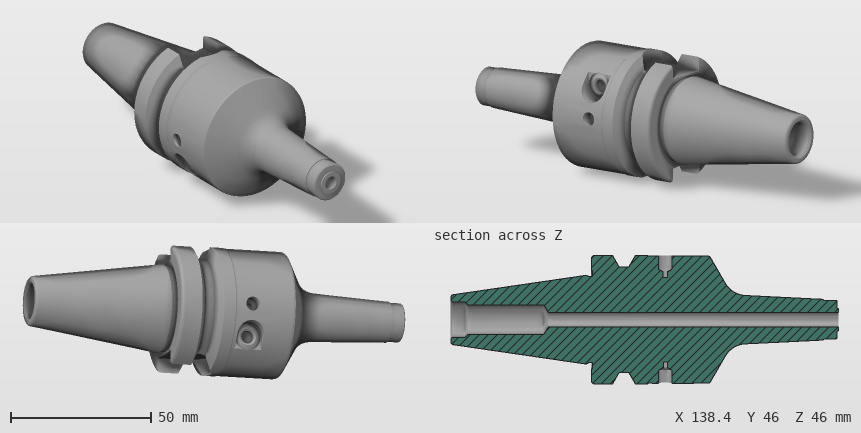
import cadquery as cq
import math

length = 138.4

shank_end_radius = 8.9
shank_length = 48.5
shank_slope = 7 / 24 / 2
shank_large_radius = shank_end_radius + shank_slope * shank_length
shank_end_fillet = 1.1
shank_angle = math.atan(shank_slope)
fillet_end_x = shank_end_fillet * (1 - math.sin(shank_angle))
fillet_end_radius = shank_end_radius + shank_slope * fillet_end_x
fillet_center_radius = fillet_end_radius - shank_end_fillet * math.cos(shank_angle)
relief_radius = 30.9 / 2
relief_chamfer = 0.8

flange_start = 50.1
flange_radius = 46.0 / 2
flange_fillet = 1.2
face_recess_radius = 17.5
face_recess_depth = 0.4
groove_start = 60.0
groove_end = 63.5
groove_radius = 19.0
groove_flank_angle = 60.0
groove_flank_length = (flange_radius - groove_radius) / math.tan(math.radians(groove_flank_angle))
collar_end = 70.5
collar_chamfer = 0.3

body_radius = 45.5 / 2
body_end = 92.5
body_edge_chamfer = 0.7
cone_start_radius = 22.5
cone_angle = 60.0
cone_end = 98.0
cone_end_radius = cone_start_radius - (cone_end - body_end) * math.tan(math.radians(cone_angle))
neck_start = 104.9
neck_start_radius = 8.7
neck_end = 133.0
neck_end_radius = 7.3
nose_radius = 14.0 / 2
nose_end = 137.8
nose_chamfer = 0.4
boss_diameter = 8.3

through_diameter = 5.0
bore_mouth_radius = 14.0 / 2
bore_mouth_chamfer = 0.7
counterbore_radius = 12.5 / 2
counterbore_depth = 5.3
thread_radius = 10.4 / 2
thread_chamfer = 1.0
thread_end = 33.2
drill_cone_angle = 59.0

slot_width = 16.0
slot_end = 67.3
slot_floor = 16.3

cross_x = 76.5
pocket_z = -11.8
pocket_width = 10.0
pocket_floor = 15.9
recess_diameter = 9.7
recess_depth = 1.1
ring_diameter = 6.1
ring_depth = 0.4
socket_diameter = 4.5
socket_depth = 2.5
pin_z = -1.0
pin_hole_diameter = 5.0
pin_hole_floor = 18.0
pin_bore_diameter = 2.4
pin_bore_depth = 2.8


def turned_blank():
    """Outside shape of the holder, revolved from its half profile."""
    return (
        cq.Workplane("XY")
        .moveTo(0, 0)
        .lineTo(0, fillet_center_radius)
        .radiusArc((fillet_end_x, fillet_end_radius), shank_end_fillet)
        .lineTo(shank_length, shank_large_radius)
        .lineTo(shank_length + relief_chamfer, relief_radius)
        .lineTo(flange_start + face_recess_depth, relief_radius)
        .lineTo(flange_start + face_recess_depth, face_recess_radius)
        .lineTo(flange_start, face_recess_radius)
        .lineTo(flange_start, flange_radius - flange_fillet)
        .radiusArc((flange_start + flange_fillet, flange_radius), flange_fillet)
        .lineTo(groove_start - groove_flank_length, flange_radius)
        .lineTo(groove_start, groove_radius)
        .lineTo(groove_end, groove_radius)
        .lineTo(groove_end + groove_flank_length, flange_radius)
        .lineTo(collar_end - collar_chamfer, flange_radius)
        .lineTo(collar_end, body_radius)
        .lineTo(body_end - body_edge_chamfer, body_radius)
        .lineTo(body_end, cone_start_radius)
        .lineTo(cone_end, cone_end_radius)
        .tangentArcPoint((neck_start, neck_start_radius), relative=False)
        .lineTo(neck_end, neck_end_radius)
        .lineTo(neck_end, nose_radius)
        .lineTo(nose_end - nose_chamfer, nose_radius)
        .lineTo(nose_end, nose_radius - nose_chamfer)
        .lineTo(nose_end, 0)
        .close()
        .revolve(360, (0, 0, 0), (1, 0, 0))
    )


def axial_bore():
    """Draw-bar bore from the shank end, running into the through hole."""
    through_radius = through_diameter / 2
    drill_cone_length = (thread_radius - through_radius) / math.tan(math.radians(drill_cone_angle))
    return (
        cq.Workplane("XY")
        .moveTo(0, 0)
        .lineTo(0, bore_mouth_radius)
        .lineTo(bore_mouth_chamfer, counterbore_radius)
        .lineTo(counterbore_depth, counterbore_radius)
        .lineTo(counterbore_depth, thread_radius + thread_chamfer)
        .lineTo(counterbore_depth + thread_chamfer, thread_radius)
        .lineTo(thread_end, thread_radius)
        .lineTo(thread_end + drill_cone_length, through_radius)
        .lineTo(length, through_radius)
        .lineTo(length, 0)
        .close()
        .revolve(360, (0, 0, 0), (1, 0, 0))
    )


def nose_boss():
    """Low round boss on the nose face."""
    return cq.Workplane("YZ", origin=(nose_end, 0, 0)).circle(boss_diameter / 2).extrude(length - nose_end)


def drive_slot():
    """Round-ended slot across the flange, on the +Z side."""
    arc_center = slot_end - slot_width / 2
    height = flange_radius - slot_floor
    plane = cq.Workplane("XY", origin=(0, 0, slot_floor))
    straight_length = arc_center - flange_start
    straight = (
        plane.center(flange_start + straight_length / 2, 0).rect(straight_length, slot_width).extrude(height)
    )
    round_end = plane.center(arc_center, 0).circle(slot_width / 2).extrude(height)
    return straight.union(round_end)


def front_plane(depth_y, z):
    """Sketch plane facing -Y, centred on a cross feature."""
    return cq.Workplane("XZ", origin=(cross_x, depth_y, z))


def screw_pocket():
    """Flat-floored pocket open towards -Z, with a coned screw head sunk in its floor."""
    recess_floor_y = -pocket_floor + recess_depth
    depth = flange_radius - pocket_floor
    round_end = front_plane(-pocket_floor, pocket_z).circle(pocket_width / 2).extrude(depth)
    open_end = (
        front_plane(-pocket_floor, pocket_z - pocket_width / 2).rect(pocket_width, pocket_width).extrude(depth)
    )
    recess = front_plane(recess_floor_y, pocket_z).circle(recess_diameter / 2).extrude(recess_depth)
    screw_head = front_cone(recess_floor_y, recess_diameter, ring_diameter, -recess_depth)
    ring = front_cone(-pocket_floor, ring_diameter, socket_diameter, ring_depth)
    socket = blind_hole(-pocket_floor, pocket_z, socket_diameter, socket_depth)
    return round_end.union(open_end).union(recess.cut(screw_head)).union(ring).union(socket)


def front_cone(mouth_y, mouth_diameter, inner_diameter, depth):
    """Cone on the pocket axis, narrowing along +Y over depth (along -Y if depth is negative)."""
    return (
        front_plane(mouth_y, pocket_z)
        .circle(mouth_diameter / 2)
        .workplane(offset=-depth)
        .circle(inner_diameter / 2)
        .loft()
    )


def blind_hole(mouth_y, z, diameter, depth):
    """Drilled hole going +Y from mouth_y, ending in a drill point."""
    radius = diameter / 2
    point = radius / math.tan(math.radians(drill_cone_angle))
    return (
        cq.Workplane("XY", origin=(cross_x, mouth_y, z))
        .polyline([(0, 0), (radius, 0), (radius, depth), (0, depth + point)])
        .close()
        .revolve(360, (0, 0, 0), (0, 1, 0))
    )


def pin_hole():
    """Blind stepped hole beside the screw pocket."""
    outer = blind_hole(-flange_radius, pin_z, pin_hole_diameter, flange_radius - pin_hole_floor)
    inner = blind_hole(-pin_hole_floor, pin_z, pin_bore_diameter, pin_bore_depth)
    return outer.union(inner)


result = turned_blank().union(nose_boss()).cut(axial_bore())

for cutter in (drive_slot(), screw_pocket(), pin_hole()):
    for angle in (0, 180):
        result = result.cut(cutter.rotate((0, 0, 0), (1, 0, 0), angle))